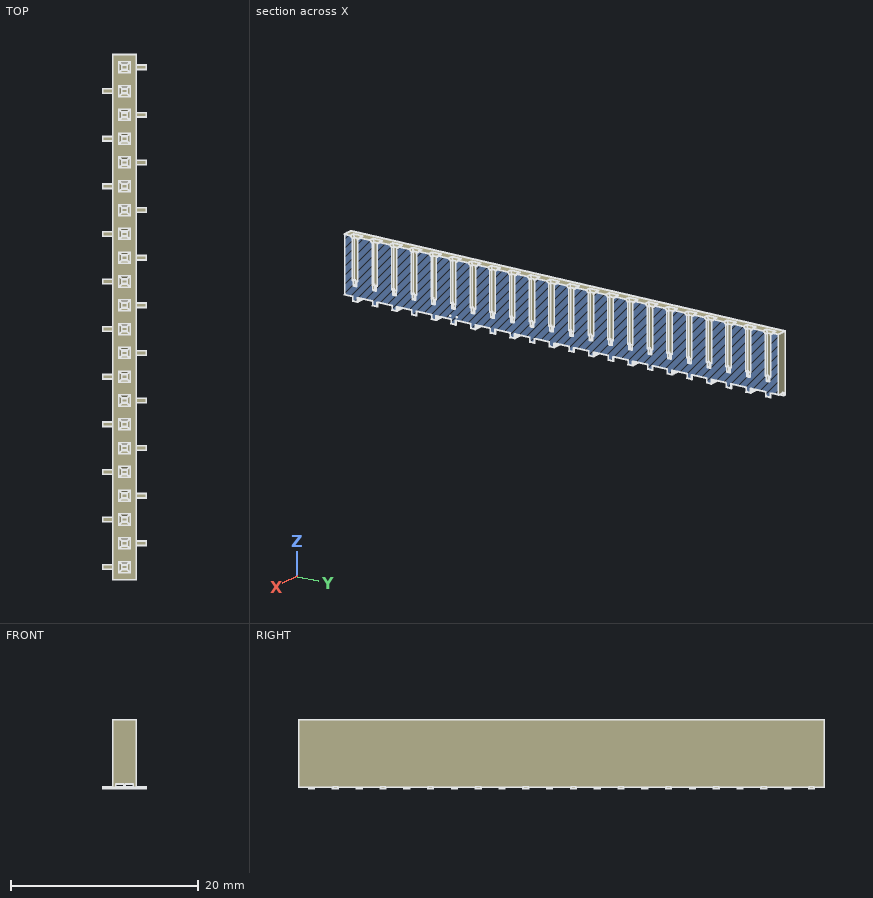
import cadquery as cq

length = 56.1
housing_width = 2.5
total_height = 7.4
standoff = 0.15

contact_count = 22
row_length = 53.35
lead_span = 4.65
lead_width = 0.5
shank_width = 0.6
sheet_thickness = 0.2

channel_wall = 0.35
channel_depth = 0.35

mouth_size = 1.2
socket_size = 0.6
funnel_depth = (mouth_size - socket_size) / 2
socket_depth = 5.05
slot_width = 0.4
slot_depth = 0.55

pitch = row_length / (contact_count - 1)
contact_places = [i * pitch - row_length / 2 for i in range(contact_count)]
channel_roof = standoff + channel_depth


def make_housing():
    """Plain bar with a channel running the full length of its underside."""
    block = cq.Workplane("XY").box(
        housing_width, length, total_height - standoff, centered=(True, True, False)
    )
    channel = cq.Workplane("XY").box(
        housing_width - 2 * channel_wall, length, channel_depth, centered=(True, True, False)
    )
    return block.cut(channel).translate((0, 0, standoff))


def make_socket(y):
    """Square hole with a funnel mouth, open at the top of the housing."""
    funnel = (
        cq.Workplane("XY", origin=(0, y, total_height))
        .rect(mouth_size, mouth_size)
        .workplane(offset=-funnel_depth)
        .rect(socket_size, socket_size)
        .loft(ruled=True)
    )
    hole = (
        cq.Workplane("XY", origin=(0, y, total_height))
        .rect(socket_size, socket_size)
        .extrude(-socket_depth)
    )
    slot = (
        cq.Workplane("XY", origin=(0, y, total_height - socket_depth))
        .rect(socket_size, slot_width)
        .extrude(-slot_depth)
    )
    return funnel.union(hole).union(slot)


def make_contact(y, side):
    """Strip standing on the centre line with a flat lead out to one side (+1 or -1 along X)."""
    shank = cq.Workplane("XY", origin=(0, y, 0)).box(
        sheet_thickness, shank_width, channel_roof, centered=(True, True, False)
    )
    lead_length = lead_span / 2
    lead = cq.Workplane("XY", origin=(side * lead_length / 2, y, 0)).box(
        lead_length, lead_width, sheet_thickness, centered=(True, True, False)
    )
    return shank.union(lead)


sockets = [make_socket(y).val() for y in contact_places]

contacts = [
    make_contact(y, 1 if index % 2 else -1).val() for index, y in enumerate(contact_places)
]

housing = make_housing().val().cut(*sockets)
result = cq.Workplane(housing.fuse(*contacts))